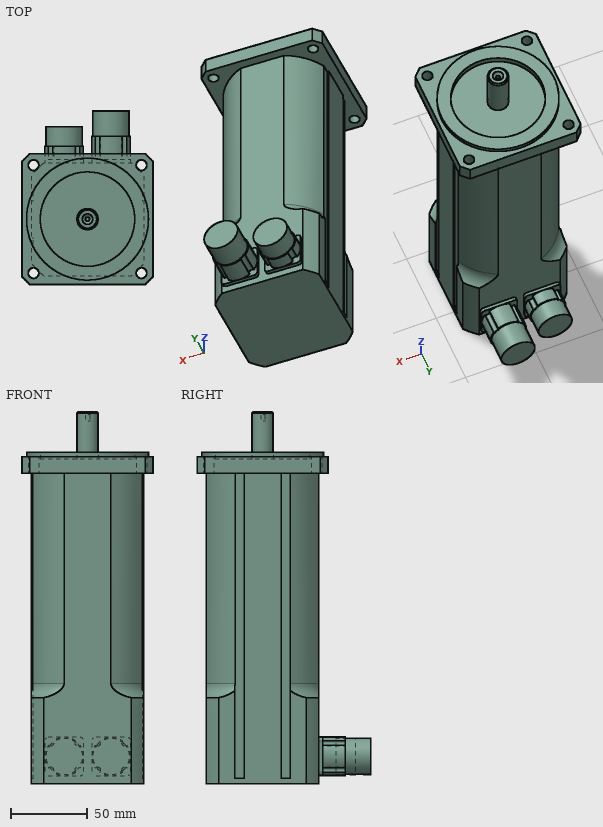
import cadquery as cq
import math

total_height = 244.0
shaft_length = 26.5
pilot_height = 3.0
flange_thickness = 11.0
pilot_top = total_height - shaft_length
flange_top = pilot_top - pilot_height
flange_bottom = flange_top - flange_thickness

body_width = 74.0
barrel_diameter = 80.0
base_corner_diameter = 93.7
corner_fillet_radius = 10.0
corner_fillet_top = 66.0

groove_width = 6.0
groove_depth = 1.2
groove_centre_y = 15.1
groove_bottom = 3.7

diagonal_angle = 45

flange_width = 86.0
flange_chamfer = 5.1
bolt_circle_diameter = 100.0
bolt_hole_diameter = 6.8
bolt_hole_count = 4
pilot_diameter = barrel_diameter
recess_diameter = 62.0
recess_depth = 4.5

shaft_diameter = 14.0
shaft_chamfer = 1.0
centre_cone_diameter = 6.8
centre_hole_diameter = 2.7
centre_cone_depth = 1.7
centre_hole_depth = 6.0

connector_x = 15.4
connector_z = 18.0
collar_length = 2.5
collar_corner_radius = 2.5
ring_diameter = 25.4
plug_diameter = 24.0
notch_diameter = 4.1
notch_count = 4
short_ring_length = 11.0
short_connector_length = 23.7
long_ring_length = 17.3
long_connector_overhang = 28.0
long_connector_length = flange_width / 2 + long_connector_overhang - body_width / 2


def body_bar():
    """Square bar limited by a turned profile: wide base corners, concave fillet, slimmer barrel."""
    barrel_radius = barrel_diameter / 2
    base_radius = base_corner_diameter / 2
    fillet_centre_radius = barrel_radius + corner_fillet_radius

    def fillet_height(radius):
        return corner_fillet_top - math.sqrt(corner_fillet_radius**2 - (fillet_centre_radius - radius) ** 2)

    middle_radius = (barrel_radius + base_radius) / 2
    turned = (
        cq.Workplane("XZ")
        .lineTo(base_radius, 0)
        .lineTo(base_radius, fillet_height(base_radius))
        .threePointArc((middle_radius, fillet_height(middle_radius)), (barrel_radius, corner_fillet_top))
        .lineTo(barrel_radius, flange_bottom)
        .lineTo(0, flange_bottom)
        .close()
        .revolve(360, (0, 0, 0), (0, 1, 0))
    )
    bar = cq.Workplane("XY").rect(body_width, body_width).extrude(flange_bottom)
    return bar.intersect(turned)


def side_grooves():
    """Two grooves in each X side, open into the flange and closed above the back end."""
    places = [(x * body_width / 2, y * groove_centre_y) for x in (-1, 1) for y in (-1, 1)]
    return (
        cq.Workplane("XY")
        .workplane(offset=groove_bottom)
        .pushPoints(places)
        .rect(2 * groove_depth, groove_width)
        .extrude(flange_bottom - groove_bottom)
    )


def flange():
    """Square flange with chamfered corners, four bolt holes and a recessed pilot."""
    plate = (
        cq.Workplane("XY")
        .workplane(offset=flange_bottom)
        .rect(flange_width, flange_width)
        .extrude(flange_thickness)
        .edges("|Z")
        .chamfer(flange_chamfer)
    )
    holes = (
        cq.Workplane("XY")
        .workplane(offset=flange_bottom)
        .polarArray(bolt_circle_diameter / 2, diagonal_angle, 360, bolt_hole_count)
        .circle(bolt_hole_diameter / 2)
        .extrude(flange_thickness)
    )
    pilot = cq.Workplane("XY").workplane(offset=flange_top).circle(pilot_diameter / 2).extrude(pilot_height)
    recess = (
        cq.Workplane("XY")
        .workplane(offset=pilot_top - recess_depth)
        .circle(recess_diameter / 2)
        .extrude(recess_depth)
    )
    return plate.cut(holes).union(pilot).cut(recess)


def shaft():
    """Chamfered output shaft, starting inside the flange, with a countersunk centre hole."""
    stub = (
        cq.Workplane("XY")
        .workplane(offset=flange_bottom)
        .circle(shaft_diameter / 2)
        .extrude(total_height - flange_bottom)
        .faces(">Z")
        .chamfer(shaft_chamfer)
    )
    centre_hole = (
        cq.Workplane("XZ")
        .moveTo(0, total_height)
        .lineTo(centre_cone_diameter / 2, total_height)
        .lineTo(centre_hole_diameter / 2, total_height - centre_cone_depth)
        .lineTo(centre_hole_diameter / 2, total_height - centre_hole_depth)
        .lineTo(0, total_height - centre_hole_depth)
        .close()
        .revolve(360, (0, 0, 0), (0, 1, 0))
    )
    return stub.cut(centre_hole)


def motor():
    """Motor housing with its flange and shaft."""
    return body_bar().cut(side_grooves()).union(flange()).union(shaft())


def connector(x, ring_length, length):
    """Round connector standing on the +Y face: square collar, notched ring and plain plug."""

    def section_plane(distance):
        return cq.Workplane("XZ", origin=(x, body_width / 2 + distance, connector_z))

    collar = (
        section_plane(0)
        .rect(ring_diameter, ring_diameter)
        .extrude(-collar_length)
        .edges("|Y")
        .fillet(collar_corner_radius)
    )
    ring = section_plane(collar_length).circle(ring_diameter / 2).extrude(collar_length - ring_length)
    notches = (
        section_plane(collar_length)
        .polarArray(ring_diameter / 2, diagonal_angle, 360, notch_count)
        .circle(notch_diameter / 2)
        .extrude(collar_length - ring_length)
    )
    plug = section_plane(ring_length).circle(plug_diameter / 2).extrude(ring_length - length)
    return collar.union(ring.cut(notches)).union(plug)


connector_layout = [
    (-connector_x, short_ring_length, short_connector_length),
    (connector_x, long_ring_length, long_connector_length),
]
connectors = [connector(*layout).val() for layout in connector_layout]

result = cq.Compound.makeCompound([motor().val(), *connectors])